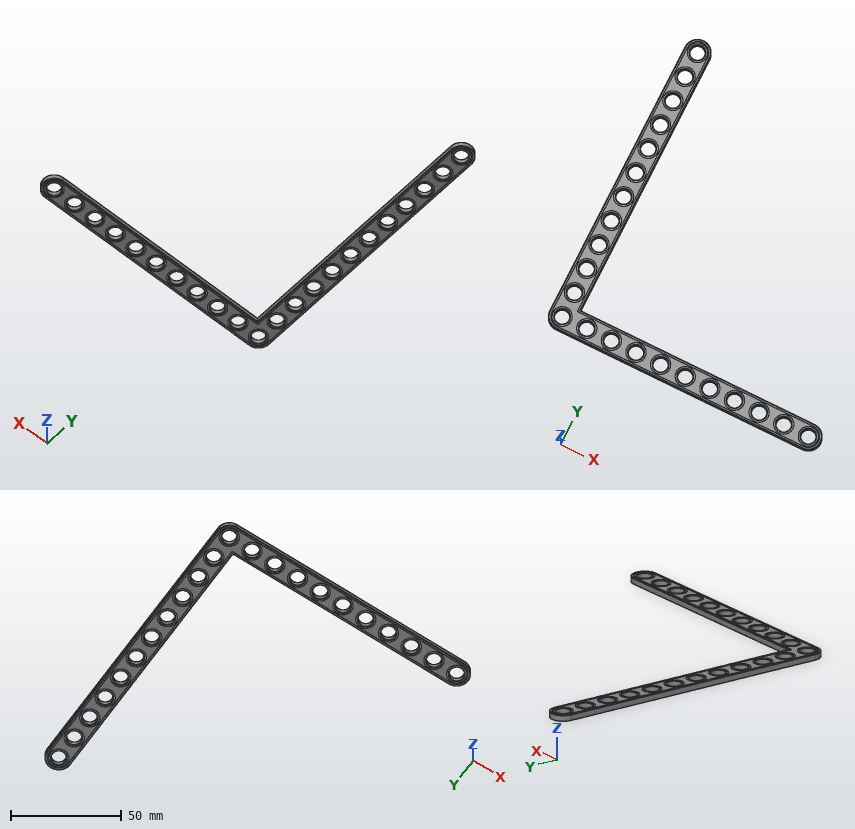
import cadquery as cq

HOLES_X = 11
HOLES_Y = 12
OVERALL_Y = 150
COLLAR_GAP = 3.3
RIM_WIDTH = 1.1
RECESS_DEPTH = 0.2
EDGE_CHAMFER = 0.3

PITCH = OVERALL_Y / HOLES_Y
ARM_WIDTH = PITCH
THICKNESS = PITCH / 4
SPAN_X = (HOLES_X - 1) * PITCH
SPAN_Y = (HOLES_Y - 1) * PITCH

COLLAR_DIAMETER = PITCH - COLLAR_GAP
HOLE_DIAMETER = COLLAR_DIAMETER - 2 * RIM_WIDTH

hole_centres = [(i * PITCH, 0) for i in range(HOLES_X)]
hole_centres += [(0, j * PITCH) for j in range(1, HOLES_Y)]


def angle_plate(width, bottom, height):
    """Flat L of two round-ended arms that share the corner hole."""
    base = cq.Workplane("XY", origin=(0, 0, bottom))
    arm_x = base.center(SPAN_X / 2, 0).slot2D(SPAN_X + width, width).extrude(height)
    arm_y = base.center(0, SPAN_Y / 2).slot2D(SPAN_Y + width, width, 90).extrude(height)
    return arm_x.union(arm_y)


def discs(diameter, bottom, height):
    """One disc on every hole centre."""
    return (
        cq.Workplane("XY", origin=(0, 0, bottom))
        .pushPoints(hole_centres)
        .circle(diameter / 2)
        .extrude(height)
    )


def recess(bottom):
    """Shallow recess that leaves the rim and the hole collars standing."""
    hollow = angle_plate(ARM_WIDTH - 2 * RIM_WIDTH, bottom, RECESS_DEPTH)
    return hollow.cut(discs(COLLAR_DIAMETER, bottom, RECESS_DEPTH))


plate = angle_plate(ARM_WIDTH, 0, THICKNESS).cut(discs(HOLE_DIAMETER, 0, THICKNESS))
plate = plate.faces("|Z").edges().chamfer(EDGE_CHAMFER)

result = plate.cut(recess(THICKNESS - RECESS_DEPTH)).cut(recess(0))